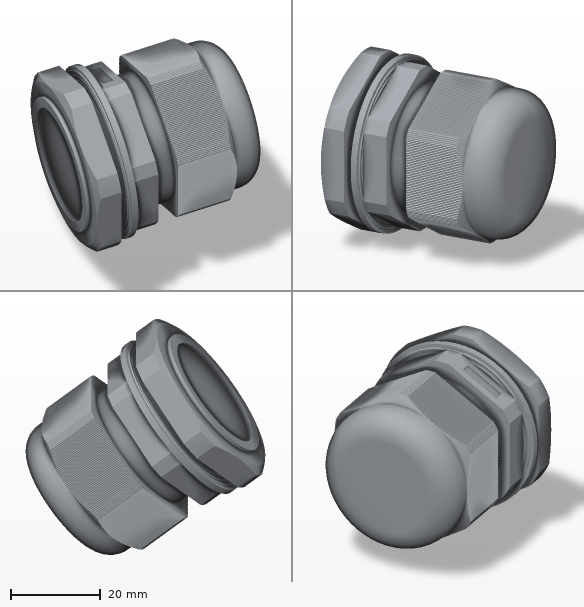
import cadquery as cq
import math


nose_length = 1.0
nut_length = 6.0
gasket_start = 9.2
gasket_length = 1.5
body_hex_start = 10.95
body_hex_end = 16.7
cap_start = 21.6
teeth_end = 35.88
dome_start = 37.75
total_length = 43.4

thread_diameter = 31.5
bore_diameter = 26.7
bore_depth = 1.0
neck_diameter = 30.4
dome_diameter = 34.3

nut_flats = 38.7
nut_corner_diameter = 42.22
nut_face_diameter = 38.4
nut_chamfer_length = 1.0

gasket_diameter = 40.6
rib_radius = 0.25
rib_straight_height = 0.05
rib_outer_diameter = 38.85
rib_diameter_step = 2.3
rib_count = 3

body_flats = 34.85
body_corner_flats = 38.28
panel_length = 9.9
panel_width = 2.5
panel_center_y = 13.75
panel_depth = 0.3

cap_flats = 34.5
tooth_pitch = 0.4
tooth_depth = tooth_pitch / 2
teeth_per_flat = 43
teeth_per_corner = 5
grip_chamfer_length = 1.5
grip_chamfer_width = 2.05

hex_sides = 6
side_angle = 360 / hex_sides
corner_ratio = 1 / math.cos(math.radians(side_angle / 2))


def xz_plane(y):
    """Workplane at station y whose normal points along +Y (its local x is -X)."""
    return cq.Workplane("XZ", origin=(0, y, 0)).transformed(rotate=(0, 180, 0))


def cylinder(diameter, y_start, y_end):
    return xz_plane(y_start).circle(diameter / 2).extrude(y_end - y_start)


def hexagon(across_flats, y_start, y_end, corners_on_z=True):
    """Hexagonal prism along Y, with two corners on the Z axis or else on the X axis."""
    turn = side_angle / 2 if corners_on_z else 0
    return (
        xz_plane(y_start)
        .transformed(rotate=(0, 0, turn))
        .polygon(hex_sides, across_flats * corner_ratio)
        .extrude(y_end - y_start)
    )


def revolve_about_y(radius_y_points):
    return cq.Workplane("XY").polyline(radius_y_points).close().revolve(360, (0, 0), (0, 1))


def lock_nut():
    nut_end = nose_length + nut_length
    corner_radius = nut_corner_diameter / 2
    envelope = revolve_about_y([
        (0, nose_length),
        (nut_face_diameter / 2, nose_length),
        (corner_radius, nose_length + nut_chamfer_length),
        (corner_radius, nut_end),
        (0, nut_end),
    ])
    return hexagon(nut_flats, nose_length, nut_end).intersect(envelope)


def gasket_rib(center_radius):
    """Ring through the gasket whose round-topped ends stand out from both faces."""
    inner = center_radius - rib_radius
    outer = center_radius + rib_radius
    front = gasket_start - rib_straight_height
    back = gasket_start + gasket_length + rib_straight_height
    return (
        cq.Workplane("XY")
        .moveTo(inner, front)
        .threePointArc((center_radius, front - rib_radius), (outer, front))
        .lineTo(outer, back)
        .threePointArc((center_radius, back + rib_radius), (inner, back))
        .close()
        .revolve(360, (0, 0), (0, 1))
    )


def gasket():
    ring = cylinder(gasket_diameter, gasket_start, gasket_start + gasket_length)
    for index in range(rib_count):
        rib_diameter = rib_outer_diameter - index * rib_diameter_step
        ring = ring.union(gasket_rib(rib_diameter / 2 - rib_radius))
    return ring


def body_hexagon():
    flats = hexagon(body_flats, body_hex_start, body_hex_end)
    corner_cut = hexagon(body_corner_flats, body_hex_start, body_hex_end, corners_on_z=False)
    panel = (
        cq.Workplane("XY")
        .box(2 * panel_depth, panel_width, panel_length)
        .translate((-body_flats / 2, panel_center_y, 0))
        .rotate((0, 0, 0), (0, 1, 0), side_angle)
    )
    return flats.intersect(corner_cut).cut(panel)


def serrated_outline():
    """Closed root-tip-root zigzag around the cap grip, one flat and one corner per side."""
    root_distance = cap_flats / 2 - tooth_depth
    half_flat = teeth_per_flat * tooth_pitch / 2
    root_radius = math.hypot(root_distance, half_flat)
    tip_radius = root_radius + tooth_depth
    half_flat_angle = math.atan2(half_flat, root_distance)
    side_span = math.radians(side_angle)
    corner_step = (side_span - 2 * half_flat_angle) / teeth_per_corner

    points = []
    for side in range(hex_sides):
        middle = side * side_span
        for tooth in range(teeth_per_flat):
            root_offset = tooth * tooth_pitch - half_flat
            tip_offset = root_offset + tooth_pitch / 2
            for distance, offset in ((root_distance, root_offset), (cap_flats / 2, tip_offset)):
                points.append((
                    distance * math.cos(middle) - offset * math.sin(middle),
                    distance * math.sin(middle) + offset * math.cos(middle),
                ))
        for tooth in range(teeth_per_corner):
            root_angle = middle + half_flat_angle + tooth * corner_step
            tip_angle = root_angle + corner_step / 2
            for radius, angle in ((root_radius, root_angle), (tip_radius, tip_angle)):
                points.append((radius * math.cos(angle), radius * math.sin(angle)))
    return points


def cap_grip():
    teeth = xz_plane(cap_start).polyline(serrated_outline()).close().extrude(teeth_end - cap_start)
    dome_radius = dome_diameter / 2
    outer_radius = dome_radius + grip_chamfer_width
    envelope = revolve_about_y([
        (0, cap_start),
        (outer_radius, cap_start),
        (outer_radius, teeth_end - grip_chamfer_length),
        (dome_radius, teeth_end),
        (0, teeth_end),
    ])
    return teeth.intersect(envelope)


def cap_dome():
    dome_rounding = total_length - dome_start
    return cylinder(dome_diameter, teeth_end, total_length).faces(">Y").edges().fillet(dome_rounding)


thread = cylinder(thread_diameter, 0, body_hex_start)
neck = cylinder(neck_diameter, body_hex_end, cap_start)
bore = cylinder(bore_diameter, 0, bore_depth)

result = (
    thread
    .union(lock_nut())
    .union(gasket())
    .union(body_hexagon())
    .union(neck)
    .union(cap_grip())
    .union(cap_dome())
    .cut(bore)
)